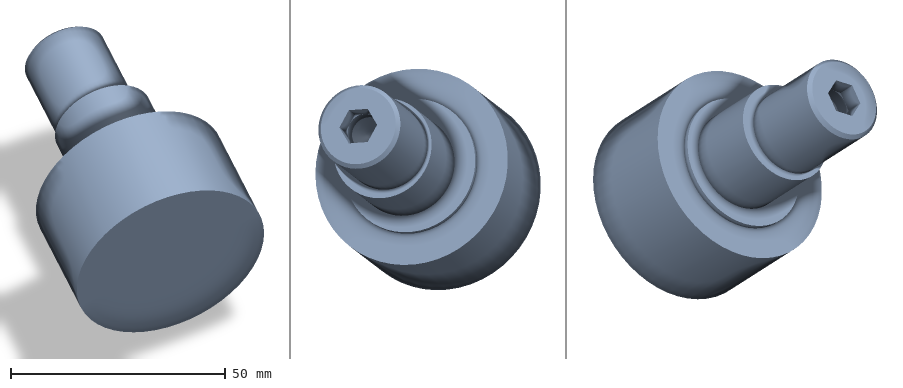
import cadquery as cq
import math

total_length = 68.1
roller_diameter = 47.0
roller_width = 26.0

shaft_diameter = 20.0
shaft_length = 22.5
shaft_chamfer = 0.9
collar_diameter = 24.0
collar_length = 18.1
collar_offset_y = 1.0
flange_diameter = 32.0

socket_across_flats = 8.0
socket_depth = 4.7
drill_depth = 8.0
drill_tip_angle = 120.0

collar_start = shaft_length
flange_start = collar_start + collar_length
roller_start = total_length - roller_width


def cylinder_along_x(start, end, diameter, center_y=0):
    """Solid cylinder between two positions on the X axis."""
    plane = cq.Workplane("YZ", origin=(start, center_y, 0))
    return plane.circle(diameter / 2).extrude(end - start)


def hex_socket():
    """Hexagonal prism with corners along Y."""
    across_corners = socket_across_flats / math.cos(math.radians(30))
    return cq.Workplane("YZ").polygon(6, across_corners).extrude(socket_depth)


def drilled_hole():
    """Round hole touching the hexagon flats, ending in a conical tip."""
    radius = socket_across_flats / 2
    tip_depth = drill_depth + radius / math.tan(math.radians(drill_tip_angle / 2))
    profile = cq.Workplane("XY").polyline(
        [(0, 0), (0, radius), (drill_depth, radius), (tip_depth, 0)]
    )
    return profile.close().revolve(360, (0, 0, 0), (1, 0, 0))


shaft = cylinder_along_x(0, collar_start, shaft_diameter).faces("<X").chamfer(shaft_chamfer)
collar = cylinder_along_x(collar_start, flange_start, collar_diameter, collar_offset_y)
flange = cylinder_along_x(flange_start, roller_start, flange_diameter)
roller = cylinder_along_x(roller_start, total_length, roller_diameter)

result = shaft.union(collar).union(flange).union(roller).cut(hex_socket()).cut(drilled_hole())